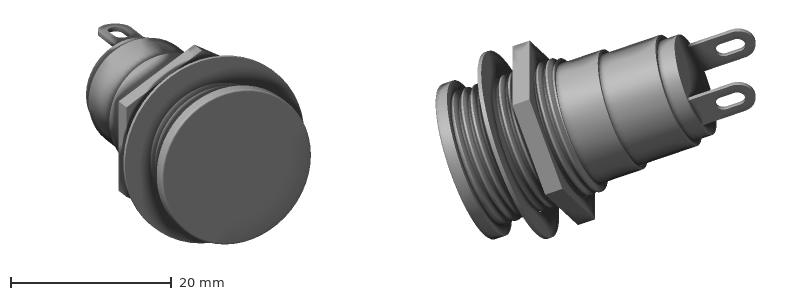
import cadquery as cq
import math

overall_length = 38.8

terminal_length = 7.9
terminal_width = 4.3
terminal_thickness = 0.6
terminal_offset = 5.4
eye_tip_gap = 1.3
eye_length = 3.85
eye_width = 1.98

insert_cap_radius = 6.6
insert_cap_length = 2.3
insert_radius = 7.3

housing_rear_x = 17.77
neck_radius = 7.88
thread_rear_x = 23.45
thread_radius = 8.85
flange_rear_x = 37.18
flange_radius = 10.2
flange_edge_radius = 0.25
bore_clearance = 0.1
bore_radius = insert_radius + bore_clearance
bore_length = flange_rear_x - housing_rear_x

ten_turn_advance = 12.7
thread_pitch = ten_turn_advance / 10
crest_flat = 0.25
root_flat = 0.25
flank_angle = math.radians(30)
groove_width = thread_pitch - crest_flat
groove_depth = (groove_width - root_flat) / 2 / math.tan(flank_angle)
groove_turns = 11
groove_overcut = 0.2

nut_rear_x = 25.95
nut_thickness = 2.33
nut_across_flats = 20.6
nut_sides = 6
washer_rear_x = 31.65
washer_thickness = 0.5
washer_radius = 12.25


def disc(start_x, length, radius):
    """Cylinder about the X axis."""
    return cq.Workplane("YZ").workplane(offset=start_x).circle(radius).extrude(length)


def make_terminal(center_z):
    tip_radius = terminal_width / 2
    eye_center_x = eye_tip_gap + eye_length / 2
    plate = (
        cq.Workplane("XY")
        .workplane(offset=center_z - terminal_thickness / 2)
        .moveTo(terminal_length, -tip_radius)
        .lineTo(tip_radius, -tip_radius)
        .threePointArc((0, 0), (tip_radius, tip_radius))
        .lineTo(terminal_length, tip_radius)
        .close()
        .extrude(terminal_thickness)
    )
    eye = (
        cq.Workplane("XY")
        .workplane(offset=center_z - terminal_thickness / 2)
        .center(eye_center_x, 0)
        .slot2D(eye_length, eye_width)
        .extrude(terminal_thickness)
    )
    return plate.cut(eye)


def make_insert():
    cap = disc(terminal_length, insert_cap_length, insert_cap_radius)
    barrel_rear_x = terminal_length + insert_cap_length
    barrel = disc(barrel_rear_x, flange_rear_x - barrel_rear_x, insert_radius)
    return cap.union(barrel)


def make_thread_groove():
    """Helical cutter from behind the thread up to the flange, both ends on the +Z side."""
    end_x = flange_rear_x - groove_width / 2
    start_x = end_x - groove_turns * thread_pitch
    flank_run = groove_depth * math.tan(flank_angle)
    overcut_run = groove_overcut * math.tan(flank_angle)
    root_radius = thread_radius - groove_depth
    outer_radius = thread_radius + groove_overcut
    outer_half = root_flat / 2 + flank_run + overcut_run
    helix = cq.Wire.makeHelix(thread_pitch, groove_turns * thread_pitch, thread_radius)
    cutter = (
        cq.Workplane("XZ")
        .moveTo(root_radius, -root_flat / 2)
        .lineTo(outer_radius, -outer_half)
        .lineTo(outer_radius, outer_half)
        .lineTo(root_radius, root_flat / 2)
        .close()
        .sweep(cq.Workplane(obj=helix), isFrenet=True)
    )
    return (
        cutter.rotate((0, 0, 0), (0, 0, 1), 180)
        .rotate((0, 0, 0), (0, 1, 0), 90)
        .translate((start_x, 0, 0))
    )


def make_housing():
    neck = disc(housing_rear_x, thread_rear_x - housing_rear_x, neck_radius)
    barrel = disc(thread_rear_x, flange_rear_x - thread_rear_x, thread_radius)
    threaded_barrel = barrel.cut(make_thread_groove())
    flange = disc(flange_rear_x, overall_length - flange_rear_x, flange_radius)
    flange = flange.faces(">X").edges().fillet(flange_edge_radius)
    bore = disc(housing_rear_x, bore_length, bore_radius)
    return neck.union(threaded_barrel).union(flange).cut(bore).solids()


def make_nut():
    across_corners = nut_across_flats / math.cos(math.pi / nut_sides)
    hexagon = (
        cq.Workplane("YZ")
        .workplane(offset=nut_rear_x)
        .polygon(nut_sides, across_corners)
        .extrude(nut_thickness)
        .rotate((0, 0, 0), (1, 0, 0), 90)
    )
    return hexagon.cut(disc(nut_rear_x, nut_thickness, thread_radius))


def make_washer():
    plate = disc(washer_rear_x, washer_thickness, washer_radius)
    return plate.cut(disc(washer_rear_x, washer_thickness, thread_radius))


housing = make_housing()
insert = make_insert()
nut = make_nut()
washer = make_washer()
terminals = [make_terminal(side * terminal_offset) for side in (1, -1)]

result = cq.Compound.makeCompound(
    [
        housing.val(),
        insert.val(),
        nut.val(),
        washer.val(),
        *[terminal.val() for terminal in terminals],
    ]
)